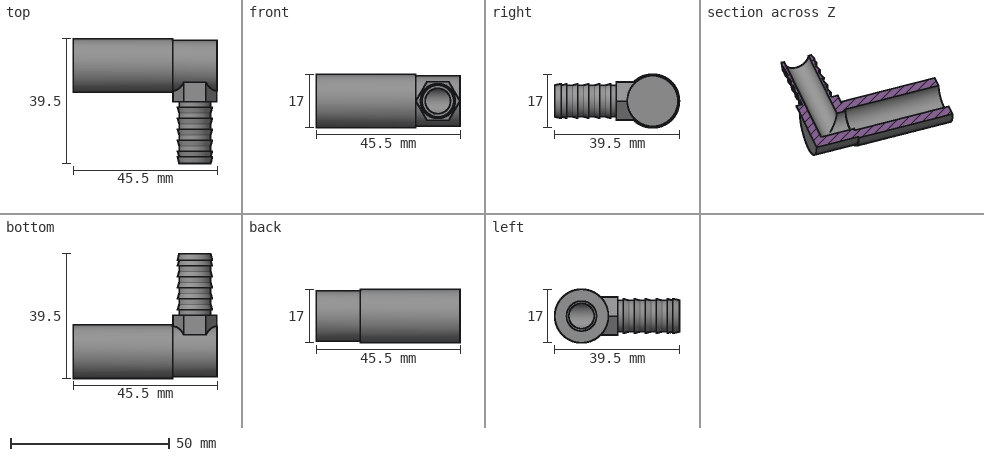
import cadquery as cq

total_length = 45.5
sleeve_length = 31.5
sleeve_diameter = 17.0
head_length = total_length - sleeve_length
head_diameter = 16.0

branch_x = sleeve_length + head_length / 2
corner_clearance = 0.05
hex_across_corners = head_length - 2 * corner_clearance
hex_end = 11.5
stub_end = 31.0

root_radius = 10.0 / 2
barb_radius = 11.0 / 2
barb_count = 5
tip_length = 2.15
tip_bulge = 0.05
barb_length = (stub_end - hex_end - tip_length) / (2 * barb_count)
barb_pitch = 2 * barb_length

bore_diameter = 8.0
socket_diameter = 9.5
socket_depth = sleeve_length


def cylinder_along_x(start_x, length, diameter):
    return cq.Workplane("YZ", origin=(start_x, 0, 0)).circle(diameter / 2).extrude(length)


def make_run():
    sleeve = cylinder_along_x(0, sleeve_length, sleeve_diameter)
    head = cylinder_along_x(sleeve_length, head_length, head_diameter)
    return sleeve.union(head)


def make_hexagon():
    return cq.Workplane("XZ", origin=(branch_x, 0, 0)).polygon(6, hex_across_corners).extrude(hex_end)


def make_stub():
    profile = cq.Workplane("XY", origin=(branch_x, 0, 0)).lineTo(root_radius, 0)
    first_barb_y = -hex_end - barb_length
    for index in range(barb_count):
        barb_y = first_barb_y - index * barb_pitch
        profile = profile.lineTo(root_radius, barb_y)
        profile = profile.lineTo(barb_radius, barb_y)
        profile = profile.lineTo(root_radius, barb_y - barb_length)

    tip_y = -stub_end + tip_length
    tip_middle = ((barb_radius + root_radius) / 2 + tip_bulge, (tip_y - stub_end) / 2)
    profile = profile.lineTo(barb_radius, tip_y)
    profile = profile.threePointArc(tip_middle, (root_radius, -stub_end))
    profile = profile.lineTo(0, -stub_end).close()
    return profile.revolve(360, (0, 0, 0), (0, 1, 0))


def make_passage():
    path = cq.Workplane("XY").lineTo(branch_x, 0).lineTo(branch_x, -stub_end)
    bore = cq.Workplane("YZ").circle(bore_diameter / 2).sweep(path, transition="right")
    socket = cylinder_along_x(0, socket_depth, socket_diameter)
    return bore.union(socket)


body = make_run().union(make_hexagon()).union(make_stub())
result = body.cut(make_passage())